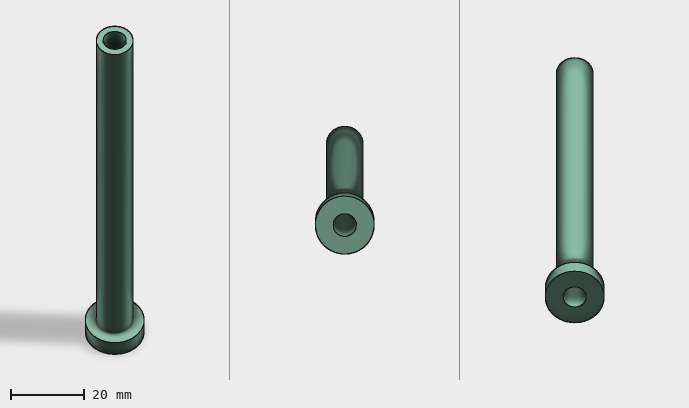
import cadquery as cq

total_length = 125
head_diameter = 16.0
head_height = 5
shaft_diameter = 10
bore_diameter = 6.2
neck_fillet = 0.5

head_radius = head_diameter / 2
shaft_radius = shaft_diameter / 2
bore_radius = bore_diameter / 2

section = (
    cq.Workplane("XZ")
    .moveTo(-bore_radius, 0)
    .lineTo(-head_radius, 0)
    .lineTo(-head_radius, head_height)
    .lineTo(-shaft_radius - neck_fillet, head_height)
    .radiusArc((-shaft_radius, head_height + neck_fillet), -neck_fillet)
    .lineTo(-shaft_radius, total_length)
    .lineTo(-bore_radius, total_length)
    .close()
)

result = section.revolve(360, (0, 0, 0), (0, 1, 0))